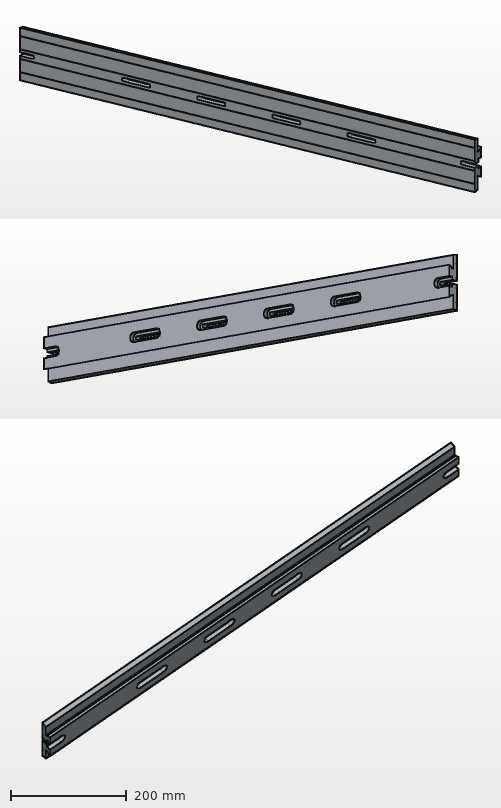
import cadquery as cq
import math

length = 921.5
depth = 21.0
height = 99.5

plate_thickness = 10.0
plate_end_angle = 10.0
lip_root_depth = 13.0
lip_angle = 30.0
lip_tip_height = 29.0

score_heights = (9.0, 34.0)
score_width = 0.55
score_depth = score_width / 2

slot_length = 57.0
slot_width = 6.7
slot_count = 4
slot_pitch = 152.0
slot_row_shift = 3.0
recess_width = 17.5
recess_depth = 8.8
recess_length = slot_length + recess_width - slot_width

front_y = -depth / 2
back_y = depth / 2
half_height = height / 2


def rise(run, angle):
    """Height gained along a run at a slope given in degrees."""
    return run * math.tan(math.radians(angle))


def make_rail():
    """Extrude the symmetric cross-section along the full length."""
    plate_back_y = front_y + plate_thickness
    lip_root_y = front_y + lip_root_depth
    lip_root_z = lip_tip_height - rise(back_y - lip_root_y, lip_angle)
    groove_floor_z = lip_root_z - rise(lip_root_y - plate_back_y, plate_end_angle)
    upper_half = [
        (front_y, half_height),
        (plate_back_y, half_height - rise(plate_thickness, plate_end_angle)),
        (plate_back_y, groove_floor_z),
        (lip_root_y, lip_root_z),
        (back_y, lip_tip_height),
    ]
    lower_half = [(y, -z) for y, z in reversed(upper_half)]
    outline = cq.Workplane("YZ").polyline(upper_half + lower_half).close()
    return outline.extrude(length / 2, both=True)


def make_score(z):
    """Full-length V cutter centred at height z on the front face."""
    outline = [
        (front_y, z - score_width / 2),
        (front_y, z + score_width / 2),
        (front_y + score_depth, z),
    ]
    return cq.Workplane("YZ").polyline(outline).close().extrude(length / 2, both=True)


def make_slot(x):
    """Through slot and back recess, sharing the same centre."""
    through_slot = (
        cq.Workplane("XZ", origin=(x, front_y, 0))
        .slot2D(slot_length, slot_width)
        .extrude(-depth)
    )
    recess = (
        cq.Workplane("XZ", origin=(x, back_y, 0))
        .slot2D(recess_length, recess_width)
        .extrude(recess_depth)
    )
    return through_slot.union(recess)


result = make_rail()

for score_z in score_heights:
    result = result.cut(make_score(score_z)).cut(make_score(-score_z))

first_slot_x = slot_row_shift - slot_pitch * (slot_count - 1) / 2
row_centres = [first_slot_x + i * slot_pitch for i in range(slot_count)]
for slot_x in [-length / 2, *row_centres, length / 2]:
    result = result.cut(make_slot(slot_x))